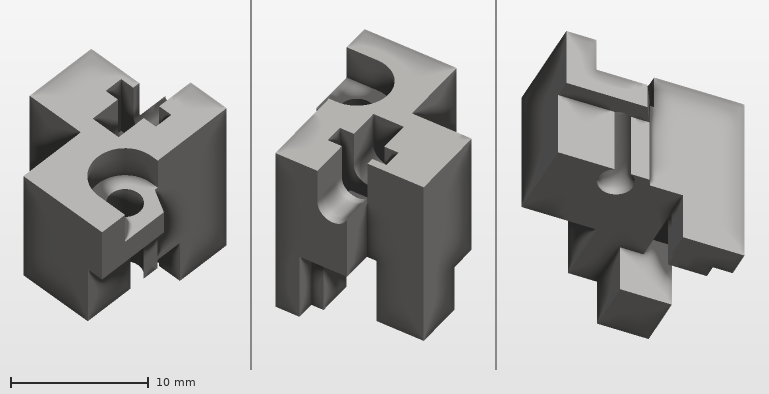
import cadquery as cq

length = 15.1
width = 13.15
top = 14.77
body_bottom = 4.09

step_x = 5.18
arm_front = 6.01
arm_back = 12.45
neck_x = 4.92
back_right_x = 11.15
bevel_start_y = 7.58
bevel_end_y = 6.46

overhang_x = 11.7
overhang_bottom = 9.7

channel_width = 2.63
channel_right = 7.49
channel_start = 7.58
channel_axis_z = 11.73
channel_radius = channel_width / 2
channel_axis_x = channel_right - channel_radius

nut_width = 5.07
slot_front = 10.21
slot_back = 11.82
slot_floor = channel_axis_z - nut_width / 2
slot_left = channel_axis_x - nut_width / 2

recess_x = 10.5
recess_y = 5.15
recess_radius = 2.75
recess_floor = 11.87
hole_diameter = 2.75

foot_front = 8.35
left_foot_width = 4.1
leg_left = 9.05
pocket_roof = 5.78
lip_left = 7.99
lip_front = 10.4
lip_back = 13.51

opening_left = 7.82


def box(x0, x1, y0, y1, z0, z1):
    """Box between two opposite corners."""
    return cq.Workplane("XY").box(x1 - x0, y1 - y0, z1 - z0, centered=False).translate((x0, y0, z0))


def make_body():
    outline = [
        (step_x, 0),
        (width, 0),
        (width, bevel_end_y),
        (back_right_x, bevel_start_y),
        (back_right_x, length),
        (neck_x, length),
        (neck_x, arm_back),
        (0, arm_back),
        (0, arm_front),
        (step_x, arm_front),
    ]
    base = cq.Workplane("XY").workplane(offset=body_bottom)
    body = base.polyline(outline).close().extrude(top - body_bottom)
    return body.cut(box(overhang_x, width, 0, length, body_bottom, overhang_bottom))


def make_feet():
    left_foot = box(0, left_foot_width, foot_front, arm_back, 0, body_bottom)
    right_leg = box(leg_left, back_right_x, slot_front, length, 0, body_bottom)
    return left_foot.union(right_leg)


def make_pocket():
    return box(left_foot_width, leg_left, slot_front, length, body_bottom, pocket_roof)


def make_lip():
    return box(lip_left, leg_left, lip_front, lip_back, 0, pocket_roof)


def make_channel():
    channel_length = length - channel_start
    round_floor = (
        cq.Workplane("XZ", origin=(channel_axis_x, length, channel_axis_z))
        .circle(channel_radius)
        .extrude(channel_length)
    )
    channel_left = channel_right - channel_width
    walls = box(channel_left, channel_right, channel_start, length, channel_axis_z, top)
    return round_floor.union(walls)


def make_nut_slot():
    slot_right = slot_left + nut_width
    slot = box(slot_left, slot_right, slot_front, slot_back, slot_floor, top)
    opening = box(opening_left, slot_right, slot_front, lip_front, body_bottom, slot_floor)
    return slot.union(opening)


def make_recess():
    round_end = cq.Workplane("XY").center(recess_x, recess_y).circle(recess_radius).extrude(top - recess_floor)
    straight = box(recess_x, width, recess_y - recess_radius, recess_y + recess_radius, recess_floor, top)
    return round_end.translate((0, 0, recess_floor)).union(straight)


def make_hole():
    return cq.Workplane("XY").center(recess_x, recess_y).circle(hole_diameter / 2).extrude(top)


result = make_body().union(make_feet()).cut(make_pocket()).union(make_lip())
for cutter in (make_channel(), make_nut_slot(), make_recess(), make_hole()):
    result = result.cut(cutter)